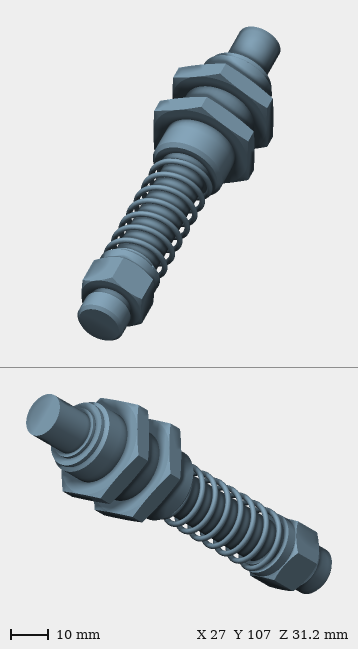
import cadquery as cq
import math

total_length = 107.0

rod_diameter = 12.0
collar_diameter = 14.0
body_diameter = 20.0
body_end_diameter = 18.0
washer_diameter = 17.0
neck_diameter = 11.45
tip_diameter = 13.16

rear_collar_start = 12.0
rear_ring_start = 13.0
rear_chamfer_start = 14.23
body_start = 15.0
body_end = 48.0
body_front_face = 49.0
front_collar_end = 51.0
seat_collar_start = 85.0
washer_start = 87.0
washer_end = 90.0
washer_chamfer = 0.4
hex_end = 99.0
tip_start = 101.3
tip_chamfer = 0.85

lock_nut_flats = 27.0
lock_nut_thickness = 4.7
lock_nut_starts = (22.1, 34.7)
lock_nut_chamfer_angle = 13.0

end_hex_flats = 17.0
end_hex_chamfer_angle = 30.0

wire_diameter = 1.5
spring_outer_diameter = 17.2
spring_pitch = 5.0


def across_y(station):
    """XZ plane whose outward normal points to -Y, at a station on the axis."""
    return cq.Workplane("XZ", origin=(0, total_length / 2 - station, 0))


def cylinder(diameter, start, end):
    return across_y(start).circle(diameter / 2).extrude(end - start)


def cone(start_diameter, end_diameter, start, end):
    return (
        across_y(start)
        .circle(start_diameter / 2)
        .workplane(offset=end - start)
        .circle(end_diameter / 2)
        .loft(ruled=True)
    )


def chamfered_hex(flats, start, end, chamfer_angle):
    """Hexagon with corners on +-Z, turned down at both ends to the flats."""
    corner_radius = flats / math.sqrt(3)
    flat_radius = flats / 2
    drop = (corner_radius - flat_radius) * math.tan(math.radians(chamfer_angle))
    rear_y = total_length / 2 - start
    front_y = total_length / 2 - end
    corner_angles = [i * math.pi / 3 for i in range(6)]
    corners = [(corner_radius * math.sin(a), corner_radius * math.cos(a)) for a in corner_angles]
    prism = across_y(start).polyline(corners).close().extrude(end - start)
    envelope = (
        cq.Workplane("XY")
        .moveTo(0, rear_y)
        .lineTo(flat_radius, rear_y)
        .lineTo(corner_radius, rear_y - drop)
        .lineTo(corner_radius, front_y + drop)
        .lineTo(flat_radius, front_y)
        .lineTo(0, front_y)
        .close()
        .revolve(360, (0, 0, 0), (0, 1, 0))
    )
    return prism.intersect(envelope)


def turned_core():
    tip = cylinder(tip_diameter, tip_start, total_length).faces("<Y").chamfer(tip_chamfer)
    washer = cylinder(washer_diameter, washer_start, washer_end).faces("<Y").chamfer(washer_chamfer)
    return (
        cylinder(rod_diameter, 0, washer_end)
        .union(cylinder(collar_diameter, rear_collar_start, front_collar_end))
        .union(cylinder(body_end_diameter, rear_ring_start, rear_chamfer_start))
        .union(cone(body_end_diameter, body_diameter, rear_chamfer_start, body_start))
        .union(cylinder(body_diameter, body_start, body_end))
        .union(cone(body_diameter, body_end_diameter, body_end, body_front_face))
        .union(cylinder(collar_diameter, seat_collar_start, washer_start))
        .union(washer)
        .union(cylinder(neck_diameter, washer_end, tip_start))
        .union(tip)
    )


def spring():
    """Right-handed coil from the washer to the body face, where it ends at -X.

    It is built up along Z from the washer, then laid down along +Y.
    """
    coil_radius = (spring_outer_diameter - wire_diameter) / 2
    coil_length = washer_start - body_front_face
    turn_angle = 360 * coil_length / spring_pitch
    lead_angle = math.degrees(math.atan2(spring_pitch, 2 * math.pi * coil_radius))
    path = cq.Wire.makeHelix(spring_pitch, coil_length, coil_radius)
    coil = (
        cq.Workplane("XZ", origin=(coil_radius, 0, 0))
        .transformed(rotate=(lead_angle, 0, 0))
        .circle(wire_diameter / 2)
        .sweep(cq.Workplane(path), isFrenet=True)
    )
    return (
        coil.rotate((0, 0, 0), (0, 0, 1), 180 - turn_angle)
        .rotate((0, 0, 0), (1, 0, 0), -90)
        .translate((0, total_length / 2 - washer_start, 0))
    )


result = turned_core()
for nut_start in lock_nut_starts:
    nut_end = nut_start + lock_nut_thickness
    result = result.union(chamfered_hex(lock_nut_flats, nut_start, nut_end, lock_nut_chamfer_angle))
result = result.union(chamfered_hex(end_hex_flats, washer_end, hex_end, end_hex_chamfer_angle))
result = result.union(spring())